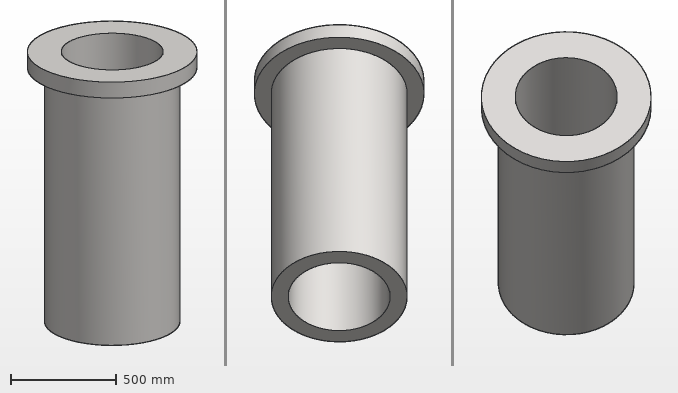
import cadquery as cq

total_height = 1371.0
bore_diameter = 484.0
body_diameter = 646.0
flange_diameter = 806.0
flange_thickness = 81.0


def cylinder(diameter, bottom, height):
    """Solid cylinder on the Z axis, starting at the given height."""
    return cq.Workplane("XY").workplane(offset=bottom).circle(diameter / 2).extrude(height)


body = cylinder(body_diameter, 0, total_height)
flange = cylinder(flange_diameter, total_height - flange_thickness, flange_thickness)
bore = cylinder(bore_diameter, 0, total_height)

result = body.union(flange).cut(bore)